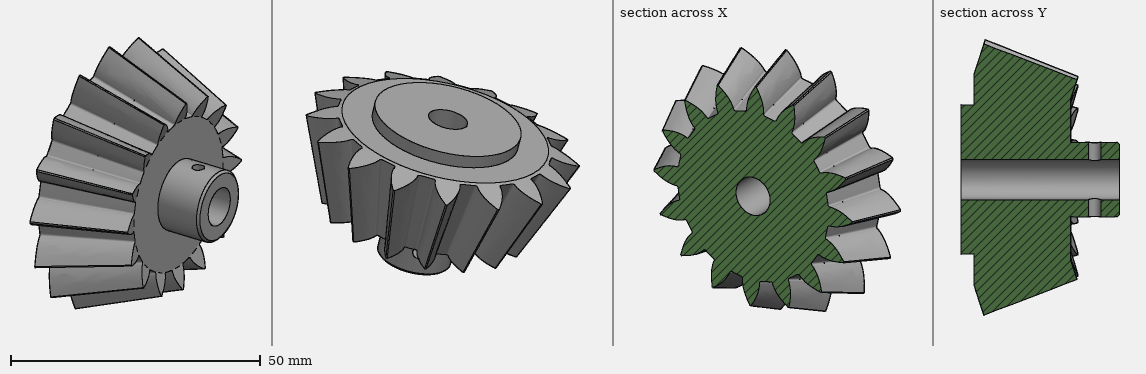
import math

import cadquery as cq

module = 3.0
teeth = 16
mate_teeth = 48
pressure_angle = math.radians(20)
addendum = 4.23
dedendum = 2.16
face_width = 20.0
root_fillet = 0.45
gap_overcut = 0.15
flank_steps = 8
first_tooth_angle = 1.55

back_hub_radius = 15.0
back_hub_length = 2.6
overall_length = 31.79
front_hub_radius = 7.5
front_hub_chamfer = 0.5
bore_radius = 4.0
back_face_radius = 21.2
pin_hole_diameter = 2.5
pin_hole_x = 26.8

pitch_radius = module * teeth / 2
pitch_cone_angle = math.atan(teeth / mate_teeth)
cos_pitch = math.cos(pitch_cone_angle)
sin_pitch = math.sin(pitch_cone_angle)
cone_distance = pitch_radius / sin_pitch
front_scale = 1 - face_width / cone_distance

back_cone_apex_distance = cone_distance / cos_pitch
virtual_pitch_radius = pitch_radius / cos_pitch
virtual_base_radius = virtual_pitch_radius * math.cos(pressure_angle)
virtual_root_radius = virtual_pitch_radius - dedendum
virtual_tip_radius = virtual_pitch_radius + addendum
virtual_half_tooth = module * math.pi / 4 / virtual_pitch_radius


def back_cone_point(virtual_radius):
    """Distance before the gear apex and radius of a back cone circle."""
    return back_cone_apex_distance - virtual_radius * sin_pitch, virtual_radius * cos_pitch


apex_x = back_hub_length + back_cone_point(back_face_radius / cos_pitch)[0]


def blank():
    """Turned body with the tips of the teeth as its largest cone."""
    tip_distance, tip_radius = back_cone_point(virtual_tip_radius)
    root_distance, root_radius = back_cone_point(virtual_root_radius)
    front_face_x = apex_x - root_distance * front_scale
    profile = (
        cq.Workplane("XY")
        .moveTo(0, bore_radius)
        .lineTo(0, back_hub_radius)
        .lineTo(back_hub_length, back_hub_radius)
        .lineTo(back_hub_length, back_face_radius)
        .lineTo(apex_x - tip_distance, tip_radius)
        .lineTo(apex_x - tip_distance * front_scale, tip_radius * front_scale)
        .lineTo(front_face_x, root_radius * front_scale)
        .lineTo(front_face_x, front_hub_radius)
        .lineTo(overall_length - front_hub_chamfer, front_hub_radius)
        .lineTo(overall_length, front_hub_radius - front_hub_chamfer)
        .lineTo(overall_length, bore_radius)
        .close()
    )
    return profile.revolve(360, (0, 0, 0), (1, 0, 0))


def involute(angle):
    """Involute function of a pressure angle."""
    return math.tan(angle) - angle


def half_tooth_angle(virtual_radius):
    """Half the angle a tooth spans about the gear axis."""
    roll = math.acos(min(1.0, virtual_base_radius / virtual_radius))
    virtual_angle = virtual_half_tooth + involute(pressure_angle) - involute(roll)
    return virtual_angle / cos_pitch


def gap_wire(plane_x):
    """Tooth gap outline, projected from the apex onto the plane at plane_x."""

    def plane_radius(virtual_radius):
        """Back cone circle projected onto the plane."""
        distance, radius = back_cone_point(virtual_radius)
        return radius * (apex_x - plane_x) / distance

    def at(radius, angle):
        """Point in the plane, angle measured from +Z towards +Y."""
        return cq.Vector(plane_x, radius * math.sin(angle), radius * math.cos(angle))

    half_pitch = math.pi / teeth
    flank_end_radius = virtual_tip_radius + gap_overcut
    flank = []
    for step in range(flank_steps + 1):
        share = (step / flank_steps) ** 2
        virtual_radius = virtual_base_radius + share * (flank_end_radius - virtual_base_radius)
        flank.append((plane_radius(virtual_radius), half_pitch - half_tooth_angle(virtual_radius)))

    root = plane_radius(virtual_root_radius)
    fillet = root_fillet * root / (virtual_root_radius * cos_pitch)
    foot_angle = flank[0][1]
    center_radius = root + fillet
    turn = math.asin(fillet / center_radius)
    center_angle = foot_angle - turn
    foot_radius = center_radius * math.cos(turn)
    corner = at(center_radius, center_angle)
    to_foot = at(foot_radius, foot_angle) - corner
    to_root = at(root, center_angle) - corner
    fillet_middle = corner + (to_foot + to_root).normalized() * fillet

    def mirrored(point):
        """Point on the other side of the gap's middle plane."""
        return cq.Vector(point.x, -point.y, point.z)

    foot = at(foot_radius, foot_angle)
    root_end = at(root, center_angle)
    base = at(*flank[0])
    flank_points = [at(radius, angle) for radius, angle in flank]
    mirrored_flank = [mirrored(point) for point in flank_points]
    outer = flank_points[-1]
    edges = [
        cq.Edge.makeThreePointArc(mirrored(root_end), at(root, 0), root_end),
        cq.Edge.makeThreePointArc(root_end, fillet_middle, foot),
        cq.Edge.makeLine(foot, base),
        cq.Edge.makeSpline(flank_points),
        cq.Edge.makeThreePointArc(outer, at(flank[-1][0], 0), mirrored(outer)),
        cq.Edge.makeSpline(mirrored_flank[::-1]),
        cq.Edge.makeLine(mirrored(base), mirrored(foot)),
        cq.Edge.makeThreePointArc(mirrored(foot), mirrored(fillet_middle), mirrored(root_end)),
    ]
    return cq.Wire.assembleEdges(edges)


def cut_teeth(body):
    """Body with one gap cut between each pair of neighbouring teeth."""
    gap = cq.Solid.makeLoft([gap_wire(0), gap_wire(overall_length)], True)
    pitch = 360 / teeth
    for index in range(teeth):
        angle = (index + 0.5) * pitch - first_tooth_angle
        body = body.cut(cq.Workplane(obj=gap.rotate(cq.Vector(), cq.Vector(1, 0, 0), angle)))
    return body


def pin_hole():
    """Cross hole along Z through both walls of the front hub."""
    return (
        cq.Workplane("XY")
        .center(pin_hole_x, 0)
        .circle(pin_hole_diameter / 2)
        .extrude(front_hub_radius, both=True)
    )


result = cut_teeth(blank()).cut(pin_hole())